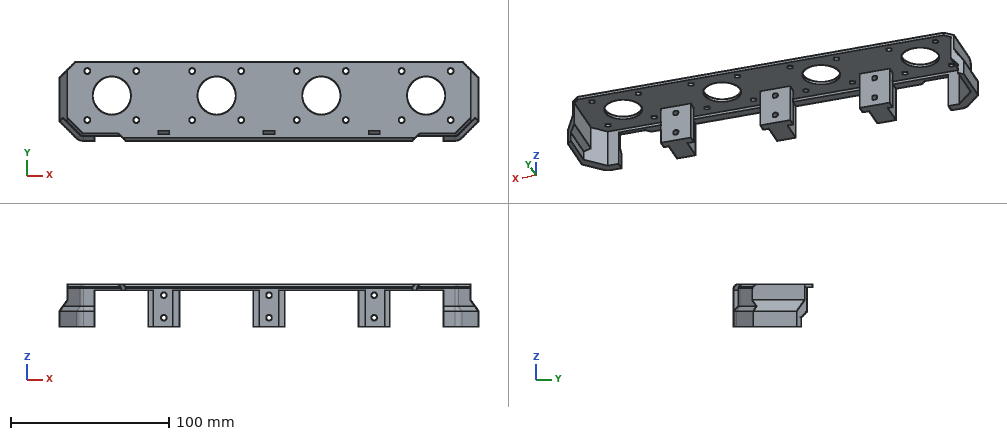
import cadquery as cq
import math

LENGTH = 265.0
DEPTH = 50.0
HEIGHT = 27.0

PLATE_THICKNESS = 2.0
RIM_THICKNESS = 2.5
LIP_HEIGHT = 4.0
LIP_BACK_Y = 6.0
EDGE_CHAMFER = 1.7
LEDGE = 0.3
TAB_HALF_WIDTH = 90.5

LEG_WIDTH = 22.25
SIDE_STEP = 5.0
FRONT_STEP = 3.0
FOOT_HEIGHT = 10.0
SIDE_STEP_TOP = 17.0
FRONT_CORNER_CUT = 12.5
FRONT_CORNER_RADIUS = 6.0
BACK_CORNER_CUT = 10.0

FOOT_WALL = 3.0
UPPER_WALL = 1.6
INNER_SLOPE_BOTTOM = 6.0

MOTOR_COUNT = 4
MOTOR_PITCH = LENGTH / MOTOR_COUNT
MOTOR_Y = 28.75
MOTOR_BORE = 24.0
SCREW_SPACING = 31.0
SCREW_HOLE = 3.6

POST_PITCH = 66.5
STEM_WIDTH = 12.5
STEM_OFFSET = 0.5
STEM_DEPTH = 16.0
FLANGE_WIDTH = 20.0
FLANGE_THICKNESS = 6.0
POST_HOLE = 3.45
POST_HOLE_HEIGHTS = (5.75, 20.0)

SLOT_LENGTH = 7.0
SLOT_WIDTH = 2.4
SLOT_FRONT_Y = 4.2
SLOT_BACK_DEPTH = 1.5

HALF = LENGTH / 2
UPPER_HALF = HALF - SIDE_STEP
LEG_INNER_X = HALF - LEG_WIDTH
PLATE_BOTTOM = HEIGHT - PLATE_THICKNESS
RIM_BOTTOM = HEIGHT - RIM_THICKNESS
LIP_BOTTOM = HEIGHT - LIP_HEIGHT

DIAGONAL = math.sqrt(0.5)
TAN_EIGHTH = math.tan(math.pi / 8)
ARC_MIDDLE = math.radians((225 + 270) / 2)

motor_xs = [(i - (MOTOR_COUNT - 1) / 2) * MOTOR_PITCH for i in range(MOTOR_COUNT)]
post_xs = [-POST_PITCH, 0, POST_PITCH]


def box(x0, x1, y0, y1, z0, z1):
    """Axis-aligned block between two opposite corners."""
    return cq.Workplane("XY").box(x1 - x0, y1 - y0, z1 - z0, centered=False).translate((x0, y0, z0))


def mirrored(body):
    """A left-hand body joined with its mirror image across X = 0."""
    return body.union(body.mirror("YZ"))


def end_outline(z, inset):
    """Left-end outline at height z, its front and front corner moved inward by inset."""
    side_y = FRONT_CORNER_CUT + inset / DIAGONAL
    corner_x = -HALF + FRONT_CORNER_CUT + inset * TAN_EIGHTH
    radius = FRONT_CORNER_RADIUS - inset
    tangent = radius * TAN_EIGHTH
    arc_start = (corner_x - tangent * DIAGONAL, inset + tangent * DIAGONAL)
    arc_end = (corner_x + tangent, inset)
    arc_middle = (
        arc_end[0] + radius * math.cos(ARC_MIDDLE),
        arc_end[1] + radius * (1 + math.sin(ARC_MIDDLE)),
    )
    return (
        cq.Workplane("XY", origin=(0, 0, z))
        .moveTo(-HALF, side_y)
        .lineTo(*arc_start)
        .threePointArc(arc_middle, arc_end)
        .lineTo(-LEG_INNER_X, inset)
        .lineTo(-LEG_INNER_X, DEPTH)
        .lineTo(-HALF + BACK_CORNER_CUT, DEPTH)
        .lineTo(-HALF, DEPTH - BACK_CORNER_CUT)
        .close()
    )


def side_profile():
    """End silhouette in XZ: the upper part stands in from the foot over a slope."""
    return (
        cq.Workplane("XZ")
        .polyline([
            (-HALF, 0),
            (-HALF, FOOT_HEIGHT),
            (-UPPER_HALF, SIDE_STEP_TOP),
            (-UPPER_HALF, HEIGHT),
            (0, HEIGHT),
            (0, 0),
        ])
        .close()
        .extrude(-DEPTH)
    )


def underside():
    """Space below the left half of the plate and inside its leg, open at the back."""
    foot_x = -HALF + FOOT_WALL
    upper_x = -UPPER_HALF + UPPER_WALL
    inner_slope_top = INNER_SLOPE_BOTTOM + upper_x - foot_x
    across = (
        cq.Workplane("XZ")
        .polyline([
            (foot_x, 0),
            (foot_x, INNER_SLOPE_BOTTOM),
            (upper_x, inner_slope_top),
            (upper_x, PLATE_BOTTOM),
            (0, PLATE_BOTTOM),
            (0, 0),
        ])
        .close()
        .extrude(-DEPTH)
    )
    in_plan = (
        cq.Workplane("XY")
        .polyline([
            (-HALF, FRONT_CORNER_CUT + LIP_BACK_Y / DIAGONAL),
            (-HALF + FRONT_CORNER_CUT + LIP_BACK_Y * TAN_EIGHTH, LIP_BACK_Y),
            (0, LIP_BACK_Y),
            (0, DEPTH),
            (-HALF, DEPTH),
        ])
        .close()
        .extrude(HEIGHT)
    )
    return across.intersect(in_plan)


def make_leg():
    """Left leg: foot, tapering step and upper part, still solid inside."""
    step_top = FOOT_HEIGHT + FRONT_STEP
    foot_outline = end_outline(FOOT_HEIGHT, 0)
    upper_outline = end_outline(step_top, FRONT_STEP)
    foot = foot_outline.extrude(-FOOT_HEIGHT)
    upper = upper_outline.extrude(RIM_BOTTOM - step_top)
    step = cq.Solid.makeLoft([foot_outline.val(), upper_outline.val()], True)
    return foot.union(cq.Workplane(step)).union(upper).intersect(side_profile())


def make_end_plate():
    """Left half of the plate, set back at the front with a chamfered front edge."""
    front_y = FRONT_STEP + LEDGE
    corner_x = -HALF + FRONT_CORNER_CUT + front_y * TAN_EIGHTH
    side_front_y = FRONT_CORNER_CUT + front_y / DIAGONAL - SIDE_STEP
    front_corner = cq.selectors.NearestToPointSelector((corner_x, front_y, RIM_BOTTOM))
    plate = (
        cq.Workplane("XY", origin=(0, 0, RIM_BOTTOM))
        .polyline([
            (-UPPER_HALF, side_front_y),
            (corner_x, front_y),
            (0, front_y),
            (0, DEPTH),
            (-HALF + BACK_CORNER_CUT, DEPTH),
            (-UPPER_HALF, DEPTH - BACK_CORNER_CUT + SIDE_STEP),
        ])
        .close()
        .extrude(RIM_THICKNESS)
    )
    plate = plate.edges("|Z").edges(front_corner).fillet(FRONT_CORNER_RADIUS - front_y)
    front_edge = cq.selectors.NearestToPointSelector((corner_x / 2, front_y, HEIGHT))
    return plate.edges(front_edge).chamfer(EDGE_CHAMFER)


def make_lip():
    """Left half of the lip that stiffens the front edge between the legs."""
    return box(-LEG_INNER_X, 0, FRONT_STEP, LIP_BACK_Y, LIP_BOTTOM, RIM_BOTTOM)


def make_tab():
    """Middle stretch of the front edge, reaching past the ends with slanted sides."""
    tab = (
        cq.Workplane("XY", origin=(0, 0, LIP_BOTTOM))
        .polyline([
            (-TAB_HALF_WIDTH, 0),
            (TAB_HALF_WIDTH, 0),
            (TAB_HALF_WIDTH + LIP_BACK_Y, LIP_BACK_Y),
            (-TAB_HALF_WIDTH - LIP_BACK_Y, LIP_BACK_Y),
        ])
        .close()
        .extrude(LIP_HEIGHT)
    )
    edge_cut = (
        cq.Workplane("YZ", origin=(-HALF, 0, 0))
        .polyline([
            (0, RIM_BOTTOM),
            (LEDGE, RIM_BOTTOM),
            (LEDGE, HEIGHT - EDGE_CHAMFER),
            (LEDGE + EDGE_CHAMFER, HEIGHT),
            (0, HEIGHT),
        ])
        .close()
        .extrude(LENGTH)
    )
    return tab.cut(edge_cut)


def make_post(x):
    """T-shaped post: a stem flush with the front edge backed by a wider flange.

    The stems of the outer posts sit slightly outward of their flanges.
    """
    outward = STEM_OFFSET * ((x > 0) - (x < 0))
    stem_left = x + outward - STEM_WIDTH / 2
    stem_right = stem_left + STEM_WIDTH
    stem_front = box(stem_left, stem_right, 0, LIP_BACK_Y, 0, LIP_BOTTOM)
    stem_back = box(stem_left, stem_right, LIP_BACK_Y, STEM_DEPTH, 0, PLATE_BOTTOM)
    flange_back = STEM_DEPTH + FLANGE_THICKNESS
    flange = box(x - FLANGE_WIDTH / 2, x + FLANGE_WIDTH / 2, STEM_DEPTH, flange_back, 0, PLATE_BOTTOM)
    return stem_front.union(stem_back).union(flange)


def post_holes():
    """Front-to-back holes through every post."""
    points = [(x, z) for x in post_xs for z in POST_HOLE_HEIGHTS]
    return cq.Workplane("XZ").pushPoints(points).circle(POST_HOLE / 2).extrude(-DEPTH)


def motor_openings():
    """Round openings in the plate with their surrounding screw holes."""
    offset = SCREW_SPACING / 2
    bores = [(x, MOTOR_Y) for x in motor_xs]
    screws = [
        (x + side * offset, MOTOR_Y + end * offset)
        for x in motor_xs
        for side in (-1, 1)
        for end in (-1, 1)
    ]
    plane = cq.Workplane("XY", origin=(0, 0, PLATE_BOTTOM))
    bore_cuts = plane.pushPoints(bores).circle(MOTOR_BORE / 2).extrude(PLATE_THICKNESS)
    screw_cuts = plane.pushPoints(screws).circle(SCREW_HOLE / 2).extrude(PLATE_THICKNESS)
    return bore_cuts.union(screw_cuts)


def slot(x):
    """Slot whose floor drops at 45 degrees toward the front."""
    back_y = SLOT_FRONT_Y + SLOT_WIDTH
    back_floor = HEIGHT - SLOT_BACK_DEPTH
    return (
        cq.Workplane("YZ", origin=(x - SLOT_LENGTH / 2, 0, 0))
        .polyline([
            (SLOT_FRONT_Y, HEIGHT),
            (back_y, HEIGHT),
            (back_y, back_floor),
            (SLOT_FRONT_Y, back_floor - SLOT_WIDTH),
        ])
        .close()
        .extrude(SLOT_LENGTH)
    )


left_half = make_end_plate().union(make_lip()).union(make_leg()).cut(underside())
result = mirrored(left_half).union(make_tab())
for post_x in post_xs:
    result = result.union(make_post(post_x))
for post_x in post_xs:
    result = result.cut(slot(post_x))
result = result.cut(motor_openings()).cut(post_holes())